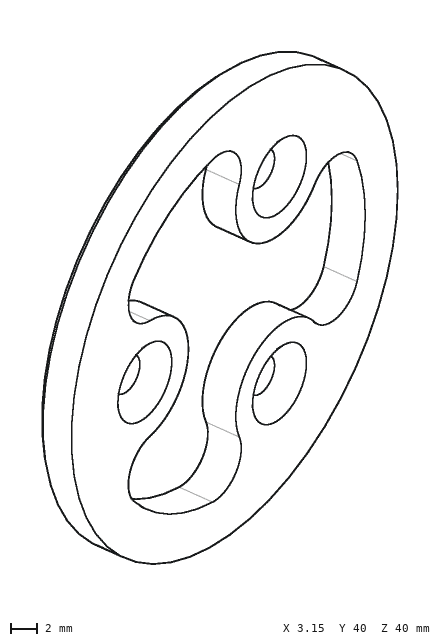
import cadquery as cq
import math

thickness = 3.15
outer_radius = 20.0
edge_chamfer = 0.5

window_radius = 16.0
lug_count = 3
lug_pitch_radius = 11.0
lug_radius = 5.35
corner_radius = 3.0
hole_diameter = 3.2

countersink_diameter = 6.6
countersink_angle = 90.0

lug_angles = [180.0 + i * 360.0 / lug_count for i in range(lug_count)]


def polar(radius, angle):
    """Point at a radius and an angle in degrees around the disc axis."""
    return (radius * math.cos(math.radians(angle)), radius * math.sin(math.radians(angle)))


def point_towards(start, target, distance):
    """Point at a distance from start in the direction of target."""
    length = math.dist(start, target)
    return tuple(s + (t - s) * distance / length for s, t in zip(start, target))


corner_center_radius = window_radius - corner_radius
corner_to_lug = lug_radius + corner_radius
corner_offset = math.degrees(math.acos(
    (corner_center_radius**2 + lug_pitch_radius**2 - corner_to_lug**2)
    / (2 * corner_center_radius * lug_pitch_radius)
))


def corner_arc(lug_angle, side):
    """Lug tangent point, middle and rim tangent point of the corner on one side of a lug."""
    lug_center = polar(lug_pitch_radius, lug_angle)
    rim_angle = lug_angle + side * corner_offset
    center = polar(corner_center_radius, rim_angle)
    on_lug = point_towards(center, lug_center, corner_radius)
    on_rim = polar(window_radius, rim_angle)
    chord_middle = tuple((a + b) / 2 for a, b in zip(on_lug, on_rim))
    middle = point_towards(center, chord_middle, corner_radius)
    return on_lug, middle, on_rim


def make_window():
    """Through window running around the lugs, corner by corner."""
    half_pitch = 180.0 / lug_count
    start = corner_arc(lug_angles[0], -1)[2]
    outline = cq.Workplane("YZ").moveTo(*start)
    for angle in lug_angles:
        before_lug, before_middle, _ = corner_arc(angle, -1)
        after_lug, after_middle, after_rim = corner_arc(angle, 1)
        next_rim = corner_arc(angle + 2 * half_pitch, -1)[2]
        lug_tip = polar(lug_pitch_radius - lug_radius, angle)
        outline = (
            outline.threePointArc(before_middle, before_lug)
            .threePointArc(lug_tip, after_lug)
            .threePointArc(after_middle, after_rim)
            .threePointArc(polar(window_radius, angle + half_pitch), next_rim)
        )
    return outline.close().extrude(thickness)


disc = cq.Workplane("YZ").circle(outer_radius).extrude(thickness)
disc = disc.faces("<X").edges().chamfer(edge_chamfer)

result = (
    disc.cut(make_window())
    .faces(">X")
    .workplane(origin=(thickness, 0, 0))
    .pushPoints([polar(lug_pitch_radius, angle) for angle in lug_angles])
    .cskHole(hole_diameter, countersink_diameter, countersink_angle)
)